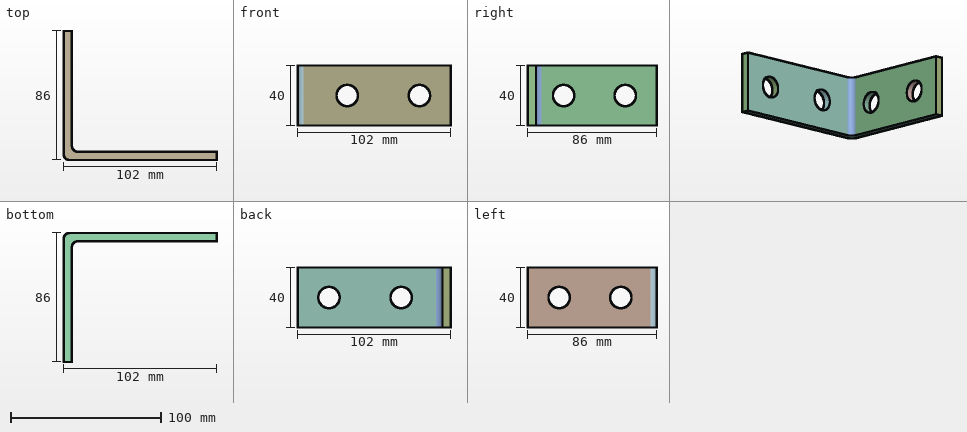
import cadquery as cq

length_x = 102.0
length_y = 86.0
height = 40.0
thickness = 5.6

outer_bend_radius = 4.0
inner_bend_radius = 4.0

hole_diameter = 14.1
x_leg_first_hole = 33.0
x_leg_hole_pitch = 48.0
y_leg_first_hole = 24.0
y_leg_hole_pitch = 41.0


def bracket_body():
    """L-shaped strip with its outer corner on the Z axis and rounded at the bend."""
    strip = (
        cq.Workplane("XY")
        .polyline([
            (0, 0),
            (length_x, 0),
            (length_x, thickness),
            (thickness, thickness),
            (thickness, length_y),
            (0, length_y),
        ])
        .close()
        .extrude(height)
    )
    outer_corner = cq.selectors.NearestToPointSelector((0, 0, height / 2))
    inner_corner = cq.selectors.NearestToPointSelector((thickness, thickness, height / 2))
    strip = strip.edges("|Z").edges(inner_corner).fillet(inner_bend_radius)
    return strip.edges("|Z").edges(outer_corner).fillet(outer_bend_radius)


def hole_cutter(position, direction):
    """Cylinder that passes through one leg, starting on its outer face."""
    return cq.Workplane(
        cq.Solid.makeCylinder(hole_diameter / 2, thickness, cq.Vector(*position), cq.Vector(*direction))
    )


result = bracket_body()
for index in range(2):
    hole_x = x_leg_first_hole + index * x_leg_hole_pitch
    hole_y = y_leg_first_hole + index * y_leg_hole_pitch
    result = result.cut(hole_cutter((hole_x, 0, height / 2), (0, 1, 0)))
    result = result.cut(hole_cutter((0, hole_y, height / 2), (1, 0, 0)))